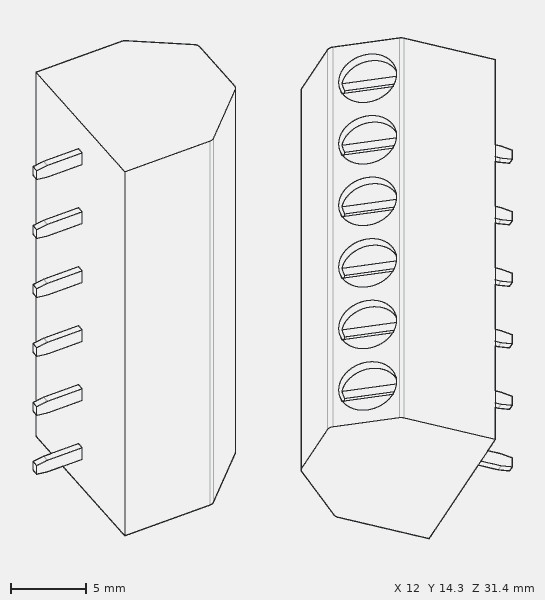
import cadquery as cq
import math

height = 31.4
width = 12.0
depth = 10.8
screw_bevel_x = 2.83
screw_bevel_y = 4.08
far_bevel_x = 4.02
far_bevel_y = 4.08
edge_radius = 0.5

terminal_count = 6
pitch = 5.1

pin_length = 3.5
pin_height = 1.0
pin_thickness = 0.5
pin_taper_length = 0.82
pin_taper_inset = 0.13

screw_diameter = 3.95
screw_recess = 0.75
slot_width = 0.82
slot_depth = 0.82
screw_offset = 0.15

left = -width / 2
right = width / 2
terminal_heights = [(i - (terminal_count - 1) / 2) * pitch for i in range(terminal_count)]


def make_housing():
    shoulder = (left, depth - screw_bevel_y)
    crest = (left + screw_bevel_x, depth)
    far_crest = (right - far_bevel_x, depth)
    far_shoulder = (right, depth - far_bevel_y)
    block = (
        cq.Workplane("XY", origin=(0, 0, -height / 2))
        .moveTo(left, 0)
        .lineTo(right, 0)
        .lineTo(*far_shoulder)
        .lineTo(*far_crest)
        .lineTo(*crest)
        .lineTo(*shoulder)
        .close()
        .extrude(height)
    )
    for corner in (shoulder, crest, far_crest, far_shoulder):
        block = block.edges(cq.selectors.NearestToPointSelector((*corner, 0))).fillet(edge_radius)
    return block


def make_pin(z):
    half = pin_height / 2
    tip_half = half - pin_taper_inset
    taper_start = pin_taper_length - pin_length
    return (
        cq.Workplane("YZ", origin=(0, 0, z))
        .polyline([
            (0, -half),
            (0, half),
            (taper_start, half),
            (-pin_length, tip_half),
            (-pin_length, -tip_half),
            (taper_start, -half),
        ])
        .close()
        .extrude(pin_thickness / 2, both=True)
    )


def make_screw_recess(z):
    """Round recess square to the bevel, with a driver slot in its floor."""
    bevel_length = math.hypot(screw_bevel_x, screw_bevel_y)
    along_x = screw_bevel_x / bevel_length
    along_y = screw_bevel_y / bevel_length
    center = (
        left + screw_bevel_x / 2 - screw_offset * along_x,
        depth - screw_bevel_y / 2 - screw_offset * along_y,
        z,
    )
    bevel = cq.Workplane(cq.Plane(origin=center, xDir=(along_x, along_y, 0), normal=(-along_y, along_x, 0)))
    full_depth = screw_recess + slot_depth
    recess = bevel.circle(screw_diameter / 2).extrude(-screw_recess)
    slot_bar = bevel.rect(screw_diameter, slot_width).extrude(-full_depth)
    slot = bevel.circle(screw_diameter / 2).extrude(-full_depth).intersect(slot_bar)
    return recess.union(slot)


result = make_housing()
for z in terminal_heights:
    result = result.cut(make_screw_recess(z)).union(make_pin(z))